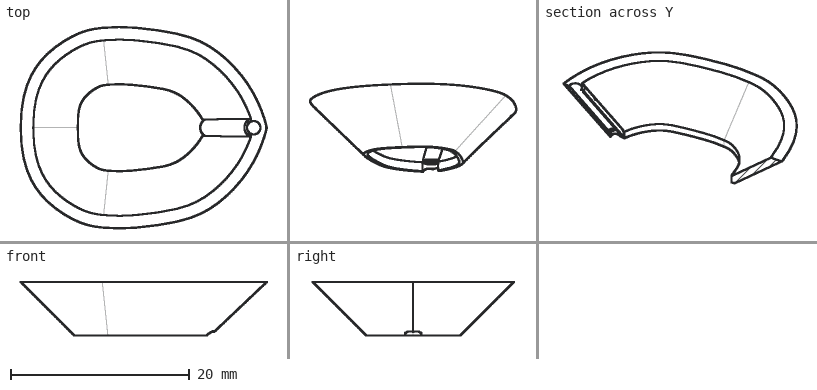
import math

import cadquery as cq


HEIGHT = 6.0
LIP_HEIGHT = 1.0
WALL = 1.0
WALL_ACROSS = WALL * math.sqrt(2)
OUTER_BOTTOM_OFFSET = WALL_ACROSS - LIP_HEIGHT
OUTER_TOP_OFFSET = OUTER_BOTTOM_OFFSET + HEIGHT
INNER_TOP_OFFSET = HEIGHT - LIP_HEIGHT

BLUNT_END = (-7.36, 0.0, 180.0)
BLUNT_SHOULDER = [(-6.52, 3.46, 132.0), (-5.32, 4.42, 110.0)]
SEAM = (-3.97, 4.80, 96.0)
POINTED_FLANK = [(0.45, 4.59, 79.7), (3.58, 3.86, 62.8), (4.61, 3.20, 45.8), (6.28, 1.37, 37.5)]
TIP_X = 7.02
TIP_SPREAD = 1.053

TUBE_RADIUS = 1.05
BORE_RADIUS = 0.75
TUBE_BOTTOM_X = 7.35
TUBE_TOP_X = 12.30
FOOT_HEIGHT = 0.25
BEND_Z = LIP_HEIGHT + FOOT_HEIGHT

NOTCH_RADIUS = 0.95
NOTCH_X = 6.93


def offset_point(station, offset):
    x, y, normal = station
    angle = math.radians(normal)
    return (x + offset * math.cos(angle), y + offset * math.sin(angle))


def travel_direction(station):
    """Unit tangent at a station, heading from the blunt end to the tip."""
    angle = math.radians(station[2])
    return cq.Vector(math.sin(angle), -math.cos(angle))


def outline(offset, z):
    """Closed wire: the opening outline moved outward by offset, at height z."""
    def lifted(x, y):
        return cq.Vector(x, y, z)

    blunt = [lifted(*offset_point(s, offset)) for s in [BLUNT_END, *BLUNT_SHOULDER, SEAM]]
    pointed = [lifted(*offset_point(s, offset)) for s in [SEAM, *POINTED_FLANK]]
    pointed.append(lifted(TIP_X + TIP_SPREAD * offset, 0))

    blunt_tangents = [travel_direction(BLUNT_END), travel_direction(SEAM)]
    pointed_tangents = [travel_direction(SEAM)] + [None] * (len(pointed) - 1)
    upper = [
        cq.Edge.makeSpline(blunt, tangents=blunt_tangents),
        cq.Edge.makeSpline(pointed, tangents=pointed_tangents),
    ]
    lower = [edge.mirror("XZ") for edge in upper]
    return cq.Wire.assembleEdges([*upper, *reversed(lower)])


def flared_solid(bottom_offset, bottom_z, top_offset):
    wires = [outline(bottom_offset, bottom_z), outline(top_offset, HEIGHT)]
    return cq.Workplane(cq.Solid.makeLoft(wires, True))


def opening():
    lip = cq.Workplane(cq.Solid.extrudeLinear(outline(0, 0), [], cq.Vector(0, 0, LIP_HEIGHT)))
    return lip.union(flared_solid(0, LIP_HEIGHT, INNER_TOP_OFFSET))


def tube_rod(radius):
    foot = (
        cq.Workplane("XY", origin=(TUBE_BOTTOM_X, 0, LIP_HEIGHT)).circle(radius).extrude(FOOT_HEIGHT)
    )
    slanted_run = (
        cq.Workplane("XY", origin=(TUBE_BOTTOM_X, 0, BEND_Z))
        .circle(radius)
        .workplane(offset=HEIGHT - BEND_Z)
        .center(TUBE_TOP_X - TUBE_BOTTOM_X, 0)
        .circle(radius)
        .loft(ruled=True)
    )
    return foot.union(slanted_run)


def lip_notch():
    return cq.Workplane("XY").center(NOTCH_X, 0).circle(NOTCH_RADIUS).extrude(LIP_HEIGHT)


ring = flared_solid(OUTER_BOTTOM_OFFSET, 0, OUTER_TOP_OFFSET).cut(opening())
result = ring.union(tube_rod(TUBE_RADIUS)).cut(tube_rod(BORE_RADIUS)).cut(lip_notch())